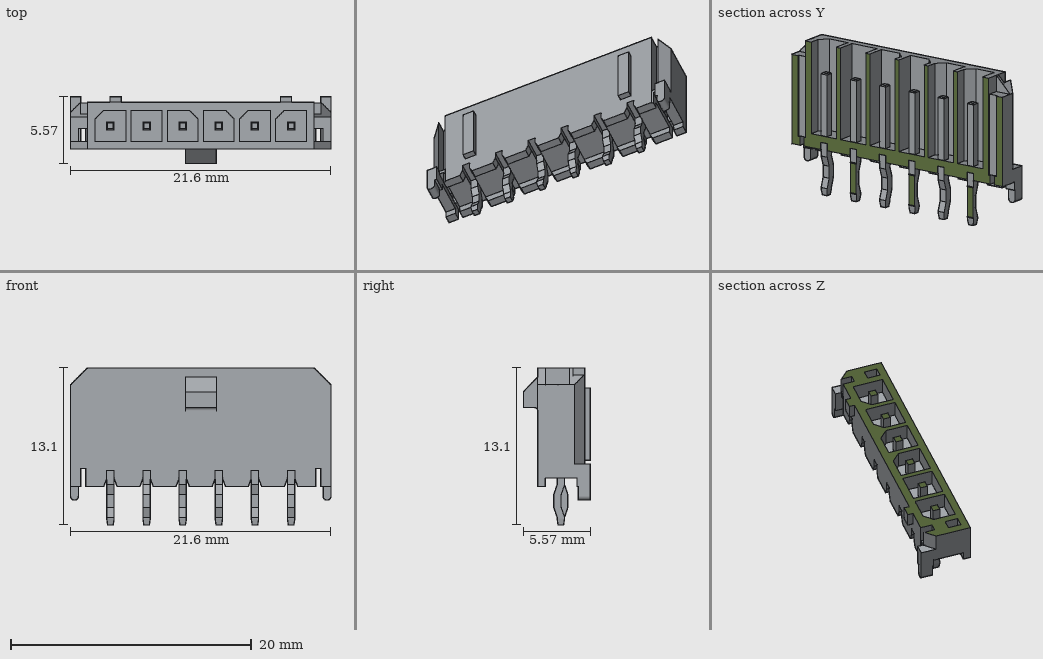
import cadquery as cq


length = 21.65
depth = 3.92
height = 9.87
wall = 0.65
end_chamfer = 1.4
half_length = length / 2
shoulder_z = height - end_chamfer
core_end = half_length - end_chamfer

circuits = 6
pin_span = 15.0
pitch = pin_span / (circuits - 1)
pin_xs = [-pin_span / 2 + i * pitch for i in range(circuits)]

keying = [-1, 0, 1, 1, -1, -1]
cavity_size = 2.55
key_chamfer = 0.7
cavity_floor_z = 1.95
row_y = wall + cavity_size / 2

pin_width = 0.63
pin_top_z = 7.36
pin_point = 0.09
bend_offset = 0.28
bend_zs = (0.17, -0.67, -1.7, -2.55)
pin_taper_z = -2.68
pin_bottom_z = -3.2
pin_tip_width = 0.48

underside_height = 0.71
underside_back_y = 3.27
notch_width = 1.1
notch_flare_height = 0.63
notch_height = 1.35

end_plate = 0.87
end_slot_width = 0.4
end_slot_height = 1.5
back_corner = 0.87
end_pocket_back_y = 2.66
well_length = 0.74
well_back_y = 1.7
channel_length = 0.58
channel_front_y = 2.92
channel_step = 0.06

rear_y = 4.37
foot_height = 1.88
peg_width = 0.67
peg_front_y = 3.35
peg_bottom_z = -1.13

rib_x = 7.08
rib_width = 0.95
rib_bottom_z = 2.19
rib_top_z = 8.2

latch_width = 2.58
latch_reach = 1.2
latch_top_z = 9.11
latch_knee_z = 7.88
latch_bottom_z = 6.55
latch_fillet = 0.25


def block(x0, x1, y0, y1, z0, z1):
    """Axis-aligned box between two opposite corners."""
    return cq.Workplane("XY").box(x1 - x0, y1 - y0, z1 - z0, centered=False).translate((x0, y0, z0))


def both_ends(shape):
    """The shape together with its mirror image at the other end of the row."""
    return shape.union(shape.mirror("YZ"))


def through_depth(points, y0, y1):
    """Outline in X and Z, extruded from y0 to y1."""
    return cq.Workplane("XZ", origin=(0, y0, 0)).polyline(points).close().extrude(y0 - y1)


def housing_body():
    outline = [
        (-half_length, 0),
        (half_length, 0),
        (half_length, shoulder_z),
        (core_end, height),
        (-core_end, height),
        (-half_length, shoulder_z),
    ]
    return through_depth(outline, 0, depth)


def back_corner_cut():
    corner = [
        (-half_length, depth),
        (-half_length, depth - back_corner),
        (-half_length + back_corner, depth),
    ]
    return cq.Workplane("XY").workplane(offset=foot_height).polyline(corner).close().extrude(height)


def end_cuts():
    """Openings in the left end: top pocket, well, rear channel, slot and chamfered corner."""
    pocket = block(-half_length, -core_end, wall, end_pocket_back_y, shoulder_z, height)
    well = block(-core_end - well_length, -core_end, wall, well_back_y, end_slot_height, height)
    channel_x = -core_end - channel_length
    channel = block(channel_x, -core_end, channel_front_y, depth, foot_height, height)
    step = block(channel_x, -core_end, depth - channel_step, depth, 0, foot_height)
    slot_x = -half_length + end_plate
    slot = block(slot_x, slot_x + end_slot_width, 0, depth, 0, end_slot_height)
    return pocket.union(well).union(channel).union(step).union(slot).union(back_corner_cut())


def foot():
    """Left rear foot with its round-ended peg."""
    base = block(-half_length, -half_length + end_plate, underside_back_y, rear_y, 0, foot_height)
    radius = peg_width / 2
    round_z = peg_bottom_z + radius
    peg = (
        cq.Workplane("XZ", origin=(-half_length, peg_front_y, 0))
        .moveTo(0, foot_height)
        .lineTo(0, round_z)
        .threePointArc((radius, peg_bottom_z), (peg_width, round_z))
        .lineTo(peg_width, foot_height)
        .close()
        .extrude(peg_front_y - rear_y)
    )
    return base.union(peg)


def rib():
    return block(-rib_x - rib_width / 2, -rib_x + rib_width / 2, depth, rear_y, rib_bottom_z, rib_top_z)


def latch():
    root_z = latch_bottom_z - latch_fillet
    arc_inset = latch_fillet * (1 - 0.5 ** 0.5)
    return (
        cq.Workplane("YZ", origin=(-latch_width / 2, 0, 0))
        .moveTo(wall, latch_top_z)
        .lineTo(0, latch_top_z)
        .lineTo(-latch_reach, latch_knee_z)
        .lineTo(-latch_reach, latch_bottom_z)
        .lineTo(-latch_fillet, latch_bottom_z)
        .threePointArc((-arc_inset, latch_bottom_z - arc_inset), (0, root_z))
        .lineTo(wall, root_z)
        .close()
        .extrude(latch_width)
    )


def cavity(x, key_side):
    half = cavity_size / 2
    space = block(x - half, x + half, wall, wall + cavity_size, cavity_floor_z, height)
    if key_side:
        corner = "<X and >Y" if key_side < 0 else ">X and >Y"
        space = space.edges("|Z").edges(corner).chamfer(key_chamfer)
    return space


def pin_notch(x):
    """Flared notch across the underside, narrowing to the width of the pin."""
    half_mouth = notch_width / 2
    half_pin = pin_width / 2
    outline = [
        (x - half_mouth, 0),
        (x + half_mouth, 0),
        (x + half_pin, notch_flare_height),
        (x + half_pin, notch_height),
        (x - half_pin, notch_height),
        (x - half_pin, notch_flare_height),
    ]
    return through_depth(outline, 0, depth)


def pin(x, bend):
    """Square pin at x, with its tail bowed towards +Y (bend 1) or -Y (bend -1)."""
    half = pin_width / 2
    bow_y = row_y + bend * bend_offset
    centre_line = [
        (row_y, pin_top_z - pin_point),
        (row_y, bend_zs[0]),
        (bow_y, bend_zs[1]),
        (bow_y, bend_zs[2]),
        (row_y, bend_zs[3]),
        (row_y, pin_taper_z),
    ]
    front = [(y - half, z) for y, z in centre_line]
    back = [(y + half, z) for y, z in reversed(centre_line)]
    shank = cq.Workplane("YZ", origin=(x - half, 0, 0)).polyline(front + back).close().extrude(pin_width)
    tip = (
        cq.Workplane("XY", origin=(x, row_y, pin_taper_z))
        .rect(pin_width, pin_width)
        .workplane(offset=pin_bottom_z - pin_taper_z)
        .rect(pin_tip_width, pin_tip_width)
        .loft()
    )
    point = (
        cq.Workplane("XY", origin=(x, row_y, pin_top_z - pin_point))
        .rect(pin_width, pin_width)
        .workplane(offset=pin_point)
        .rect(pin_width - 2 * pin_point, pin_width - 2 * pin_point)
        .loft()
    )
    return shank.union(tip).union(point)


result = housing_body().cut(both_ends(end_cuts()))
result = result.cut(block(-half_length, half_length, wall, underside_back_y, 0, underside_height))
for pin_x, key in zip(pin_xs, keying):
    result = result.cut(cavity(pin_x, key)).cut(pin_notch(pin_x))

result = result.union(both_ends(foot())).union(both_ends(rib())).union(latch())
for index, pin_x in enumerate(pin_xs):
    result = result.union(pin(pin_x, 1 if index % 2 == 0 else -1))